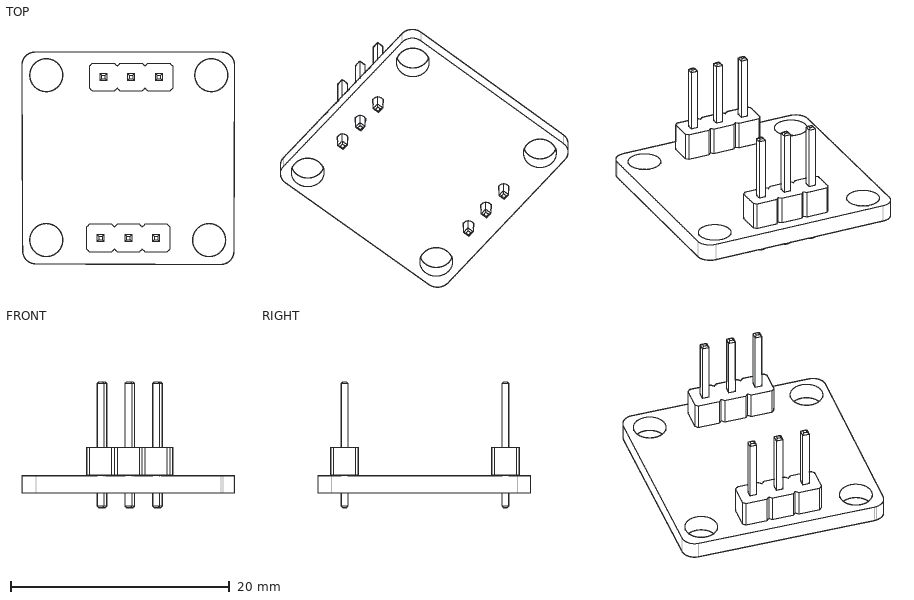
import cadquery as cq

board_thickness = 1.6
corner_radius = 1.22
front_left = (-9.67, -9.67)
front_right_facet = (8.466, -9.735)
front_right = (9.68, -9.53)
back_right = (9.744, 9.735)
back_left = (-9.744, 9.735)

mounting_hole_diameter = 3.0
left_hole_x = -7.5
front_hole_y = -7.48
back_hole_y = 7.61
front_right_hole_x = 7.4
back_right_hole_x = 7.6
mounting_hole_centres = [
    (left_hole_x, front_hole_y),
    (front_right_hole_x, front_hole_y),
    (back_right_hole_x, back_hole_y),
    (left_hole_x, back_hole_y),
]

pin_count = 3
pitch = 2.54
housing_height = 2.54
housing_gap = 0.04
cell_chamfer = 0.26
pin_width = 0.64
pin_tip_chamfer = 0.16
pin_length = 11.54
pin_below_board = 1.36
pin_hole_diameter = 1.0

header_row_spacing = 14.72
back_header_shift = 0.254
front_header_centre = (0.01, -7.29)
back_header_centre = (
    front_header_centre[0] + back_header_shift,
    front_header_centre[1] + header_row_spacing,
)
header_centres = [front_header_centre, back_header_centre]


def pin_centres(header_centre):
    """Centres of the pins of one header, in a row along X."""
    x, y = header_centre
    first_x = x - (pin_count - 1) * pitch / 2
    return [(first_x + i * pitch, y) for i in range(pin_count)]


def through_holes(centres, diameter):
    return cq.Workplane("XY").pushPoints(centres).circle(diameter / 2).extrude(board_thickness)


def make_board():
    """Skewed board with rounded corners, mounting holes and round holes for the pins."""
    facet_edge = cq.NearestToPointSelector((*front_right_facet, board_thickness / 2))
    corner_edges = cq.selectors.SubtractSelector(cq.StringSyntaxSelector("|Z"), facet_edge)
    board = (
        cq.Workplane("XY")
        .polyline([front_left, front_right_facet, front_right, back_right, back_left])
        .close()
        .extrude(board_thickness)
        .edges(corner_edges)
        .fillet(corner_radius)
    )
    board = board.cut(through_holes(mounting_hole_centres, mounting_hole_diameter))
    for header_centre in header_centres:
        board = board.cut(through_holes(pin_centres(header_centre), pin_hole_diameter))
    return board


def make_cell(x, y):
    """One square housing cell with chamfered vertical edges."""
    return (
        cq.Workplane("XY", origin=(x, y, board_thickness + housing_gap))
        .rect(pitch, pitch)
        .extrude(housing_height)
        .edges("|Z")
        .chamfer(cell_chamfer)
    )


def make_pin(x, y):
    """One square pin with chamfered tips at both ends."""
    return (
        cq.Workplane("XY", origin=(x, y, -pin_below_board))
        .rect(pin_width, pin_width)
        .extrude(pin_length)
        .faces("<Z or >Z")
        .chamfer(pin_tip_chamfer)
    )


def make_header(header_centre):
    """A row of housing cells and their pins, joined into one solid."""
    header = cq.Workplane("XY")
    for x, y in pin_centres(header_centre):
        header = header.union(make_cell(x, y)).union(make_pin(x, y))
    return header.clean()


board = make_board()
headers = [make_header(centre) for centre in header_centres]

result = cq.Compound.makeCompound([board.val(), *[header.val() for header in headers]])